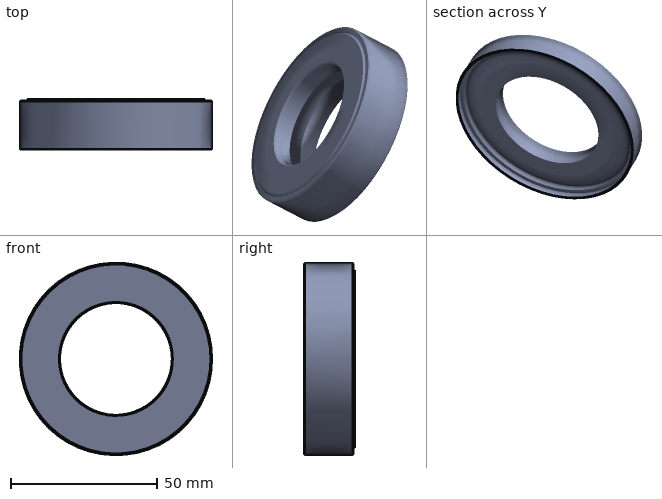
import cadquery as cq

outer_dia = 65.9
bore_dia = 38.1
front_washer_dia = 64.5
rear_washer_dia = 61.8
total_depth = 17.45

front_washer_thickness = 6.3
washer_gap = 4.6
rear_washer_start = front_washer_thickness + washer_gap

rear_step = 0.45
sleeve_depth = total_depth - rear_step

sleeve_chamfer = 0.495
bore_chamfer = 0.495
rear_rim_chamfer = 0.8

flat_land_dia = 49.9
slope_drop = 2.0


def ring(outside, inside, start, end):
    """Plain ring around the Y axis, between two Y positions."""
    return (
        cq.Workplane("XZ", origin=(0, start, 0))
        .circle(outside / 2)
        .circle(inside / 2)
        .extrude(start - end)
    )


def make_sleeve():
    """Outer sleeve with an inward rear lip that centres the rear washer."""
    sleeve = ring(outer_dia, rear_washer_dia, 0, sleeve_depth)
    sleeve = sleeve.faces("<Y or >Y").edges("%CIRCLE").edges(
        cq.selectors.RadiusNthSelector(-1)
    ).chamfer(sleeve_chamfer)
    front_recess = ring(front_washer_dia, bore_dia, 0, rear_washer_start)
    return sleeve.cut(front_recess)


def make_front_washer():
    """Front washer, flush with the front of the sleeve."""
    washer = ring(front_washer_dia, bore_dia, 0, front_washer_thickness)
    return washer.faces("<Y").edges(cq.selectors.RadiusNthSelector(0)).chamfer(bore_chamfer)


def make_slope_cutter():
    """Triangular section swept around the Y axis, removing the sloped part of the inner face."""
    inner_radius = flat_land_dia / 2
    outer_radius = rear_washer_dia / 2
    return (
        cq.Workplane("XY")
        .moveTo(inner_radius, rear_washer_start)
        .lineTo(outer_radius, rear_washer_start)
        .lineTo(outer_radius, rear_washer_start + slope_drop)
        .close()
        .revolve(360, (0, 0, 0), (0, 1, 0))
    )


def make_rear_washer():
    """Rear washer, standing proud of the sleeve at the rear."""
    washer = ring(rear_washer_dia, bore_dia, rear_washer_start, total_depth)
    washer = washer.faces(">Y").edges(cq.selectors.RadiusNthSelector(0)).chamfer(bore_chamfer)
    washer = washer.faces(">Y").edges(cq.selectors.RadiusNthSelector(-1)).chamfer(rear_rim_chamfer)
    return washer.cut(make_slope_cutter())


sleeve = make_sleeve()
front_washer = make_front_washer()
rear_washer = make_rear_washer()

result = cq.Compound.makeCompound([sleeve.val(), front_washer.val(), rear_washer.val()])